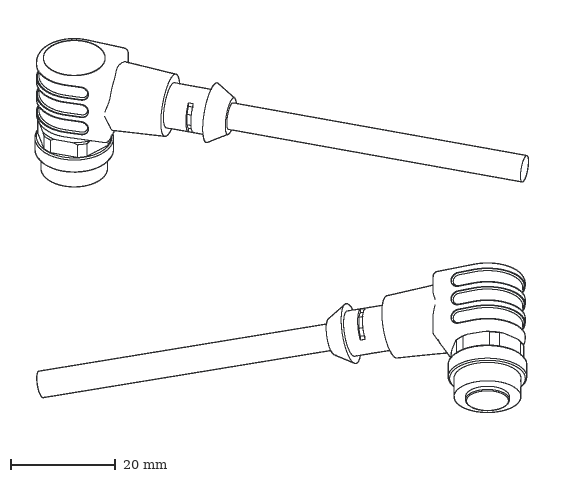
import cadquery as cq
import math


nut_diameter = 15.0
total_length = 97.55
cable_end = total_length - nut_diameter / 2
cable_diameter = 5.2
flange_start = 27.5
flange_end = 31.3
flange_large_diameter = 11.6
flange_small_diameter = 7.1
sleeve_diameter = 8.8
notch_x = 24.2
notch_width = 1.0
notch_outer_floor = 2.8
notch_center_floor = 3.6
notch_core_radius = 3.8

boot_start = 5.9
boot_end = 19.2
boot_end_radius = 6.0

housing_height = 14.0
housing_radius = 7.2
housing_rear = 9.0
taper_angle = 3.5
housing_fillet = 1.1
lid_diameter = 11.8
lid_recess = 0.1

groove_pitch = 4.0
groove_count = 3
groove_half_height = 1.5
groove_end = 5.0
groove_depth = 0.5
groove_bevel = 0.3

neck_diameter = 8.8
neck_length = 1.0
hex_sides = 6
hex_across_flats = 13.1
hex_round_diameter = 14.1
hex_height = 3.2
hex_chamfer = 0.3
nut_height = 3.3
nut_chamfer = 0.3
barrel_diameter = 12.8
barrel_height = 4.0
tip_diameter = 8.4
tip_height = 0.9
tip_chamfer = 0.2


def disc(diameter, height, top):
    """Cylinder about Z that hangs down from the given height."""
    return cq.Workplane("XY").workplane(offset=top).circle(diameter / 2).extrude(-height)


def cone_along_x(start, end, start_radius, end_radius):
    """Solid of revolution about X with a straight flank."""
    profile = [(start, 0), (start, start_radius), (end, end_radius), (end, 0)]
    return cq.Workplane("XY").polyline(profile).close().revolve(360, (0, 0, 0), (1, 0, 0))


def tapered_block(radius, rear, height):
    """Round-nosed block whose sides run tangent from the nose and close in towards the rear."""
    angle = math.radians(taper_angle)
    tangent_x = radius * math.sin(angle)
    tangent_y = radius * math.cos(angle)
    rear_y = tangent_y - (rear - tangent_x) * math.tan(angle)
    return (
        cq.Workplane("XY")
        .workplane(offset=-height / 2)
        .moveTo(rear, -rear_y)
        .lineTo(rear, rear_y)
        .lineTo(tangent_x, tangent_y)
        .threePointArc((-radius, 0), (tangent_x, -tangent_y))
        .close()
        .extrude(height)
    )


def grip_groove(z):
    """Cutter for one groove: a band with round ends wrapped over the nose, with bevelled walls."""
    round_center = groove_end - groove_half_height
    reach = 2 * housing_radius
    band = (
        cq.Workplane("XZ")
        .moveTo(-reach, z - groove_half_height)
        .lineTo(round_center, z - groove_half_height)
        .threePointArc((groove_end, z), (round_center, z + groove_half_height))
        .lineTo(-reach, z + groove_half_height)
        .close()
        .extrude(reach, both=True)
    )
    outer = tapered_block(housing_radius, housing_rear, housing_height)
    core = tapered_block(housing_radius - groove_depth, housing_rear, housing_height)

    floor_limit = housing_radius - groove_depth / 2
    floor_edges = cq.selectors.BoxSelector(
        (-floor_limit, -floor_limit, -housing_height),
        (housing_rear, floor_limit, housing_height),
        boundingbox=True,
    )
    return outer.intersect(band).cut(core).edges(floor_edges).chamfer(groove_bevel)


def make_housing():
    housing = tapered_block(housing_radius, housing_rear, housing_height)
    housing = housing.edges().fillet(housing_fillet)
    for i in range(groove_count):
        housing = housing.cut(grip_groove((i - (groove_count - 1) / 2) * groove_pitch))
    return housing.cut(disc(lid_diameter, lid_recess, housing_height / 2))


def make_notches():
    """Cutter for the two opposite notches; a flatted round core stays standing in each."""
    reach = sleeve_diameter
    slab = cq.Workplane("XY").box(notch_width, reach, reach)
    core = cq.Workplane("YZ").circle(notch_core_radius).extrude(notch_width, both=True)
    core = core.intersect(cq.Workplane("XY").box(reach, 2 * notch_center_floor, reach))
    middle = cq.Workplane("XY").box(reach, 2 * notch_outer_floor, 2 * reach)
    return slab.cut(core).cut(middle).translate((notch_x, 0, 0))


def make_cable_side():
    boot_start_radius = boot_end_radius + (boot_end - boot_start) * math.tan(math.radians(taper_angle))
    boot = cone_along_x(boot_start, boot_end, boot_start_radius, boot_end_radius)
    sleeve = cone_along_x(boot_start, flange_start, sleeve_diameter / 2, sleeve_diameter / 2)
    flange = cone_along_x(flange_start, flange_end, flange_large_diameter / 2, flange_small_diameter / 2)
    cable = cone_along_x(flange_start, cable_end, cable_diameter / 2, cable_diameter / 2)
    return boot.union(sleeve.cut(make_notches())).union(flange).union(cable)


def make_plug():
    hex_top = -housing_height / 2 - neck_length
    nut_top = hex_top - hex_height
    barrel_top = nut_top - nut_height
    tip_top = barrel_top - barrel_height

    neck = disc(neck_diameter, neck_length, -housing_height / 2)
    hex_corner_radius = hex_across_flats / 2 / math.cos(math.pi / hex_sides)
    hex_corners = []
    for i in range(hex_sides):
        angle = 2 * math.pi * i / hex_sides
        hex_corners.append((hex_corner_radius * math.cos(angle), hex_corner_radius * math.sin(angle)))
    hexagon = (
        cq.Workplane("XY")
        .workplane(offset=hex_top)
        .polyline(hex_corners)
        .close()
        .extrude(-hex_height)
        .intersect(disc(hex_round_diameter, hex_height, hex_top).faces(">Z").chamfer(hex_chamfer))
    )
    nut = disc(nut_diameter, nut_height, nut_top).edges().chamfer(nut_chamfer)
    barrel = disc(barrel_diameter, barrel_height, barrel_top)
    tip = disc(tip_diameter, tip_height, tip_top).faces("<Z").chamfer(tip_chamfer)
    return neck.union(hexagon).union(nut).union(barrel).union(tip)


result = make_housing().union(make_cable_side()).union(make_plug())